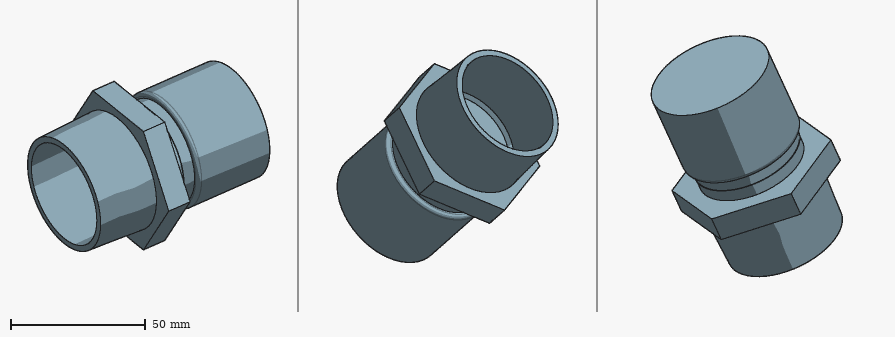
import cadquery as cq
import math

total_length = 78.0
hex_across_flats = 55.0
hex_across_corners = hex_across_flats / math.cos(math.pi / 6)

mouth_diameter = 45.9
taper_root_diameter = 48.05
hex_front = 25.0
hex_thickness = 9.9
hex_back = hex_front + hex_thickness

small_neck_diameter = 42.0
large_neck_diameter = 42.5
neck_step_length = 4.9
neck_step = hex_back + neck_step_length
neck_end = neck_step + neck_step_length

tube_diameter = 47.0
tube_edge_radius = 1.55

bore_diameter = 41.0
floor_diameter = 39.0
bore_depth = 25.75
floor_cone_depth = 1.8


def cylinder(diameter, start, end):
    """Round section about the Y axis from start to end."""
    plane = cq.Workplane("XZ", origin=(0, start, 0))
    return plane.circle(diameter / 2).extrude(start - end)


def cone(start_diameter, end_diameter, start, end):
    """Conical section about the Y axis from start to end."""
    profile = [
        (0, start),
        (start_diameter / 2, start),
        (end_diameter / 2, end),
        (0, end),
    ]
    return cq.Workplane("XY").polyline(profile).close().revolve(360, (0, 0), (0, 1))


def hexagon():
    """Spanner hexagon with two corners on the X axis."""
    plane = cq.Workplane("XZ", origin=(0, hex_front, 0))
    return plane.polygon(6, hex_across_corners).extrude(-hex_thickness)


def tube():
    """Plain tube end, rounded where it meets the neck."""
    return cylinder(tube_diameter, neck_end, total_length).faces("<Y").edges().fillet(tube_edge_radius)


def bore():
    """Blind bore opening at the threaded mouth."""
    straight = cylinder(bore_diameter, 0, bore_depth)
    floor_cone = cone(bore_diameter, floor_diameter, bore_depth, bore_depth + floor_cone_depth)
    return straight.union(floor_cone)


result = (
    cone(mouth_diameter, taper_root_diameter, 0, hex_front)
    .union(hexagon())
    .union(cylinder(small_neck_diameter, hex_back, neck_step))
    .union(cylinder(large_neck_diameter, neck_step, neck_end))
    .union(tube())
    .cut(bore())
)